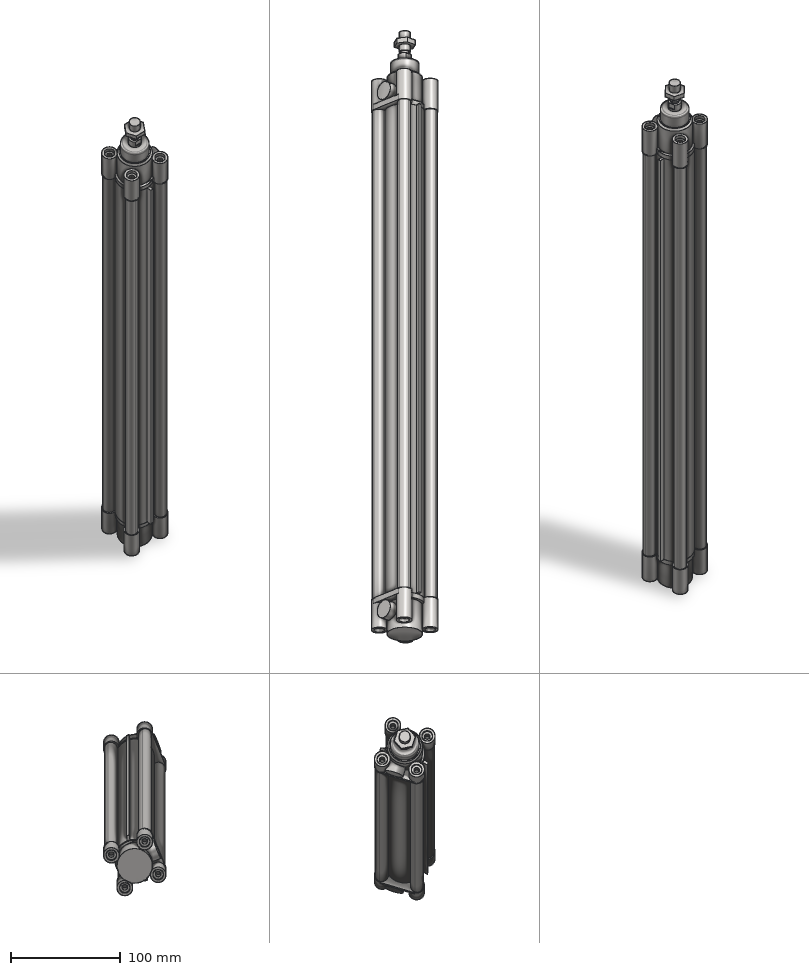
import cadquery as cq
import math

total_length = 596.5
rear_boss_height = 4.0
cap_length = 30.0
cap_plate_thickness = 5.5
front_lobe_top = 548.0
rear_cap_top = rear_boss_height + cap_length
front_cap_bottom = front_lobe_top - cap_length

cap_width = 47.0
core_diameter = 32.0
plate_diameter = 36.5
plate_cone_height = 0.5
lobe_diameter = 14.5
lobe_offset = (cap_width - lobe_diameter) / 2
web_width = 5.0
screw_head_diameter = 9.5
screw_head_depth = 3.5
screw_hole_diameter = 5.0
screw_hole_depth = 15.0

port_boss_diameter = 17.5
port_boss_offset = 3.0

shoulder_height = 5.5
shoulder_chamfer = 2.0
collar_diameter = 26.0
collar_top = 566.5
collar_fillet = 2.0

barrel_width = 45.5
barrel_corner_radius = 5.65
barrel_lobe_side = 11.0
fin_thickness = 2.7
fin_root_bottom = -0.5
fin_rise = 1.5

rod_diameter = 12.0
rod_end = 574.5
flat_width = 10.0
flat_length = 5.5
neck_diameter = 8.0
neck_length = 3.0
thread_diameter = 10.0

nut_across_flats = 17.5
nut_thickness = 5.0
nut_bottom = 583.5

lobe_centers = [(x * lobe_offset, y * lobe_offset) for x in (-1, 1) for y in (-1, 1)]


def cylinder(diameter, bottom, top):
    return cq.Workplane("XY").workplane(offset=bottom).circle(diameter / 2).extrude(top - bottom)


def cap_body(bottom, core):
    """Cap built around a core, standing on its barrel plate at the given height, outer end up."""
    top = bottom + cap_length
    plate_top = bottom + cap_plate_thickness

    plate = cylinder(plate_diameter, bottom, plate_top)
    cone_width = (plate_diameter - core_diameter) / 2
    body = core.union(plate.faces(">Z").chamfer(plate_cone_height, cone_width))

    lobes = (
        cq.Workplane("XY").workplane(offset=bottom)
        .pushPoints(lobe_centers).circle(lobe_diameter / 2).extrude(cap_length)
    )
    body = body.union(lobes)

    web_length = 2 * math.hypot(lobe_offset, lobe_offset)
    for angle in (45, 135):
        web = (
            cq.Workplane("XY").workplane(offset=bottom)
            .rect(web_length, web_width).extrude(cap_length)
            .rotate((0, 0, 0), (0, 0, 1), angle)
        )
        body = body.union(web)

    wall = cq.Workplane("XY").box(
        2 * lobe_offset, cap_width / 2, cap_plate_thickness, centered=(True, False, False)
    )
    body = body.union(wall.translate((0, 0, bottom)))

    boss = (
        cq.Workplane("XZ").center(port_boss_offset, bottom + cap_length / 2)
        .circle(port_boss_diameter / 2).extrude(-cap_width / 2)
    )
    body = body.union(boss)

    return (
        body.cut(screw_recesses(screw_head_diameter, screw_head_depth, top))
        .cut(screw_recesses(screw_hole_diameter, screw_hole_depth, top))
    )


def screw_recesses(diameter, depth, top):
    return (
        cq.Workplane("XY").workplane(offset=top)
        .pushPoints(lobe_centers).circle(diameter / 2).extrude(-depth)
    )


def make_front_cap():
    core = cylinder(core_diameter, front_cap_bottom, front_lobe_top + shoulder_height)
    core = core.faces(">Z").chamfer(shoulder_chamfer)
    collar = cylinder(collar_diameter, front_lobe_top, collar_top)
    collar = collar.faces(">Z").edges().fillet(collar_fillet)
    rod_bore = cylinder(rod_diameter, front_cap_bottom, collar_top)
    return cap_body(front_cap_bottom, core).union(collar).cut(rod_bore)


def make_rear_cap():
    core = cylinder(core_diameter, 0, rear_cap_top)
    return cap_body(0, core).mirror("XY").translate((0, 0, rear_cap_top))


def barrel_corner():
    """Corner lobe at (+X, +Y): a quarter round outside, then wider rounds into straight sides."""
    edge = barrel_width / 2
    center = edge - barrel_corner_radius
    inner_radius = center - barrel_lobe_side
    inner_center = edge - inner_radius
    outer_mid = center + barrel_corner_radius * math.sqrt(0.5)
    inner_near = center - inner_radius * math.sqrt(0.5)
    inner_far = inner_center + inner_radius * math.sqrt(0.5)
    return (
        cq.Workplane("XY").workplane(offset=rear_cap_top)
        .moveTo(edge, center)
        .threePointArc((outer_mid, outer_mid), (center, edge))
        .threePointArc((inner_near, inner_far), (barrel_lobe_side, inner_center))
        .lineTo(barrel_lobe_side, barrel_lobe_side)
        .lineTo(inner_center, barrel_lobe_side)
        .threePointArc((inner_far, inner_near), (edge, center))
        .close().extrude(front_cap_bottom - rear_cap_top)
    )


def barrel_fin(side):
    """Slanted fin along the barrel, on the -X side (side = -1) or the +X side (side = 1)."""
    tip = side * barrel_width / 2
    tip_bottom = fin_root_bottom + fin_rise
    root = side * core_diameter / 2
    return (
        cq.Workplane("XY").workplane(offset=rear_cap_top)
        .polyline([
            (root, fin_root_bottom),
            (tip, tip_bottom),
            (tip, tip_bottom + fin_thickness),
            (root, fin_root_bottom + fin_thickness),
        ])
        .close().extrude(front_cap_bottom - rear_cap_top)
    )


def make_barrel():
    barrel = cylinder(plate_diameter, rear_cap_top, front_cap_bottom)
    corner = barrel_corner()
    for angle in (0, 90, 180, 270):
        barrel = barrel.union(corner.rotate((0, 0, 0), (0, 0, 1), angle))
    for side in (-1, 1):
        barrel = barrel.union(barrel_fin(side))
    return barrel


def make_piston_rod():
    rod = cylinder(rod_diameter, front_cap_bottom, rod_end)
    flats = cq.Workplane("XY").box(flat_width, rod_diameter, flat_length, centered=(True, True, False))
    flat_bottom = rod_end - flat_length
    round_end = cylinder(rod_diameter, flat_bottom, rod_end)
    rod = rod.cut(round_end.cut(flats.translate((0, 0, flat_bottom))))

    thread_bottom = rod_end + neck_length
    neck = cylinder(neck_diameter, rod_end, thread_bottom)
    thread = cylinder(thread_diameter, thread_bottom, total_length)
    return rod.union(neck).union(thread)


def make_nut():
    across_corners = nut_across_flats / math.cos(math.pi / 6)
    return (
        cq.Workplane("XY").workplane(offset=nut_bottom)
        .transformed(rotate=(0, 0, 90)).polygon(6, across_corners).extrude(nut_thickness)
        .cut(cylinder(thread_diameter, nut_bottom, nut_bottom + nut_thickness))
    )


front_cap = make_front_cap()
rear_cap = make_rear_cap()
barrel = make_barrel()
piston_rod = make_piston_rod()
nut = make_nut()

result = cq.Compound.makeCompound(
    [front_cap.val(), rear_cap.val(), barrel.val(), piston_rod.val(), nut.val()]
)